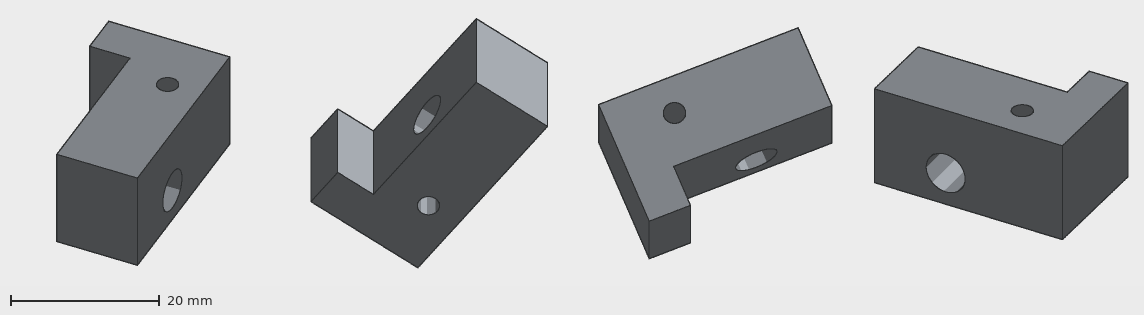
import cadquery as cq

length = 29.0
width = 18.0
height = 15.0

lip_size = 6.0

small_hole_diameter = 3.0
small_hole_from_right = 5.0
small_hole_from_back = 9.0

large_hole_diameter = 6.0
large_hole_from_back = 18.0
large_hole_from_bottom = 5.0


def l_shaped_body():
    """L-shaped block with its front left bottom corner at the origin."""
    return (
        cq.Workplane("XY")
        .moveTo(lip_size, 0)
        .lineTo(width, 0)
        .lineTo(width, length)
        .lineTo(0, length)
        .lineTo(0, length - lip_size)
        .lineTo(lip_size, length - lip_size)
        .close()
        .extrude(height)
    )


def vertical_hole():
    """Cutter for the small hole through the full height."""
    return (
        cq.Workplane("XY")
        .center(width - small_hole_from_right, length - small_hole_from_back)
        .circle(small_hole_diameter / 2)
        .extrude(height)
    )


def cross_hole():
    """Cutter for the large hole through the full width."""
    return (
        cq.Workplane("YZ")
        .center(length - large_hole_from_back, large_hole_from_bottom)
        .circle(large_hole_diameter / 2)
        .extrude(width)
    )


result = l_shaped_body().cut(vertical_hole()).cut(cross_hole())